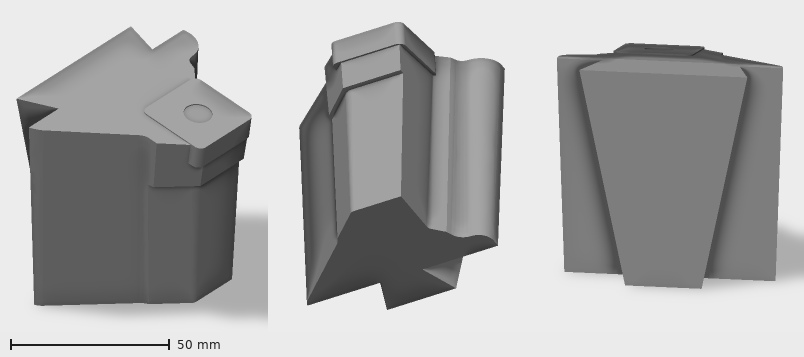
import cadquery as cq
import math

HEIGHT = 69.25
DRAFT = 2.0
TILT = 8.0
SLOPE_START_X = 16.0
FLANGE_BACK_X = 13.5
FLANGE_Y_MIN = -36.0
FLANGE_Y_MAX = 36.5
CLEARANCE = 72.4

SHOULDER_CENTER_X = 16.6
SHOULDER_RADIUS = 7.7
NECK_RADIUS = 3.05
NECK_EXIT_ANGLE = 20.0
NECK_EDGE_LENGTH = 2.5
FOOT_RADIUS = 7.45
STEP_Y = -11.15
STEP_CENTER_X = 42.05
STEP_RADIUS = 4.05

DOVETAIL_TOP_HALF = 26.85
DOVETAIL_BASE_HALF = 12.2
DOVETAIL_FLANK_ANGLE = 20.0

INSERT_SIDE = 25.4
INSERT_THICKNESS = 7.95
INSERT_CORNER_RADIUS = 2.4
INSERT_HOLE_DIAMETER = 9.1
INSERT_RECESS_DEPTH = 0.4
INSERT_TIP_X = 56.95
INSERT_Y_MIN = -3.4
INSERT_PROUD = 0.4
INSERT_OVERHANG = 0.9

HEAD_BASE_Z = 47.05
HEAD_DIAGONAL = 56.1
STEM_DIAGONAL = 52.55
STEM_TIP_X = 52.7
STEM_CORNER_RADIUS = 4.6

INSERT_Y_MAX = INSERT_Y_MIN + INSERT_SIDE
HEAD_Y_MAX = INSERT_Y_MAX - INSERT_OVERHANG
SIN_45 = math.sin(math.radians(45))
TAN_TILT = math.tan(math.radians(TILT))


def on_circle(center, radius, degrees):
    angle = math.radians(degrees)
    return (center[0] + radius * math.cos(angle), center[1] + radius * math.sin(angle))


def box_between(low, high):
    size = [b - a for a, b in zip(low, high)]
    return cq.Workplane("XY").box(*size, centered=False).translate(low)


def sloped_plane(lift):
    """Plane parallel to the sloped top face, with its origin at the insert tip."""
    slope_z = HEIGHT - (INSERT_TIP_X - SLOPE_START_X) * TAN_TILT
    normal = (math.sin(math.radians(TILT)), 0, math.cos(math.radians(TILT)))
    along = (normal[2], 0, -normal[0])
    origin = (INSERT_TIP_X, 0, slope_z + lift)
    return cq.Plane(origin=origin, xDir=along, normal=normal)


def drafted_block():
    """Full block outline, drafted from the top level down to the base."""
    shoulder = (SHOULDER_CENTER_X, FLANGE_Y_MAX - SHOULDER_RADIUS)
    neck = (shoulder[0] + SHOULDER_RADIUS + NECK_RADIUS, shoulder[1])
    step = (STEP_CENTER_X, STEP_Y - STEP_RADIUS)
    foot_y = FLANGE_Y_MIN + FOOT_RADIUS
    foot_x = step[0] - step[1] + foot_y - (STEP_RADIUS + FOOT_RADIUS) / SIN_45
    foot = (foot_x, foot_y)
    neck_end_angle = 270 - NECK_EXIT_ANGLE
    neck_end = on_circle(neck, NECK_RADIUS, neck_end_angle)
    knee = on_circle(neck_end, NECK_EDGE_LENGTH, -NECK_EXIT_ANGLE)
    ramp_end_x = knee[0] + knee[1] - HEAD_Y_MAX
    far_x = INSERT_TIP_X + FLANGE_BACK_X
    outline = (
        cq.Workplane("XY", origin=(0, 0, HEIGHT))
        .moveTo(0, FLANGE_Y_MIN)
        .lineTo(foot[0], FLANGE_Y_MIN)
        .threePointArc(on_circle(foot, FOOT_RADIUS, -67.5), on_circle(foot, FOOT_RADIUS, -45))
        .lineTo(*on_circle(step, STEP_RADIUS, 135))
        .threePointArc(on_circle(step, STEP_RADIUS, 112.5), (step[0], STEP_Y))
        .lineTo(far_x, STEP_Y)
        .lineTo(far_x, HEAD_Y_MAX)
        .lineTo(ramp_end_x, HEAD_Y_MAX)
        .lineTo(*knee)
        .lineTo(*neck_end)
        .threePointArc(
            on_circle(neck, NECK_RADIUS, (180 + neck_end_angle) / 2),
            (neck[0] - NECK_RADIUS, neck[1]),
        )
        .threePointArc(on_circle(shoulder, SHOULDER_RADIUS, 45), (shoulder[0], FLANGE_Y_MAX))
        .lineTo(0, FLANGE_Y_MAX)
        .close()
    )
    block = outline.extrude(-HEIGHT, taper=DRAFT)
    return block.intersect(
        box_between((FLANGE_BACK_X, -CLEARANCE, 0), (CLEARANCE, CLEARANCE, HEIGHT))
    )


def head_limit():
    """Prism square to the sloped face that bounds the block above the head base."""
    tip = -INSERT_OVERHANG
    diagonal_y = INSERT_TIP_X + tip - HEAD_DIAGONAL
    prism = (
        cq.Workplane(sloped_plane(0))
        .polyline([
            (tip, CLEARANCE),
            (-CLEARANCE, CLEARANCE),
            (-CLEARANCE, diagonal_y - CLEARANCE - tip),
            (tip, diagonal_y),
        ])
        .close()
        .extrude(CLEARANCE, both=True)
    )
    return prism.intersect(
        box_between((0, -CLEARANCE, HEAD_BASE_Z), (CLEARANCE, CLEARANCE, HEIGHT))
    )


def stem_limit():
    """Drafted prism that bounds the block below the head base."""
    center_x = STEM_TIP_X - STEM_CORNER_RADIUS
    center_y = center_x + STEM_CORNER_RADIUS / SIN_45 - STEM_DIAGONAL
    center = (center_x, center_y)
    prism = (
        cq.Workplane("XY", origin=(0, 0, HEIGHT))
        .moveTo(0, -STEM_DIAGONAL)
        .lineTo(*on_circle(center, STEM_CORNER_RADIUS, -45))
        .threePointArc(on_circle(center, STEM_CORNER_RADIUS, -22.5), (STEM_TIP_X, center_y))
        .lineTo(STEM_TIP_X, CLEARANCE)
        .lineTo(0, CLEARANCE)
        .close()
        .extrude(-HEIGHT, taper=DRAFT)
    )
    return prism.intersect(
        box_between((0, -CLEARANCE, 0), (CLEARANCE, CLEARANCE, HEAD_BASE_Z))
    )


def dovetail_section(workplane, back_half):
    root_half = back_half - FLANGE_BACK_X * math.tan(math.radians(DOVETAIL_FLANK_ANGLE))
    return workplane.polyline([
        (0, -back_half),
        (FLANGE_BACK_X, -root_half),
        (FLANGE_BACK_X, root_half),
        (0, back_half),
    ]).close()


def make_dovetail():
    base = dovetail_section(cq.Workplane("XY"), DOVETAIL_BASE_HALF)
    top = dovetail_section(base.workplane(offset=HEIGHT), DOVETAIL_TOP_HALF)
    return top.loft(ruled=True)


def above_slope():
    return (
        cq.Workplane("XZ", origin=(0, CLEARANCE, 0))
        .polyline([
            (SLOPE_START_X, HEIGHT),
            (SLOPE_START_X + CLEARANCE, HEIGHT - CLEARANCE * TAN_TILT),
            (SLOPE_START_X + CLEARANCE, HEIGHT),
        ])
        .close()
        .extrude(2 * CLEARANCE)
    )


def on_insert_center():
    center_y = INSERT_Y_MIN + INSERT_SIDE / 2
    return cq.Workplane(sloped_plane(INSERT_PROUD)).center(-INSERT_SIDE / 2, center_y)


def insert_blank():
    """Rounded square plate without its hole; also the shape of its pocket."""
    outline = cq.Sketch().rect(INSERT_SIDE, INSERT_SIDE).vertices().fillet(INSERT_CORNER_RADIUS)
    return on_insert_center().placeSketch(outline).extrude(-INSERT_THICKNESS)


def make_insert():
    recess = on_insert_center().circle(INSERT_HOLE_DIAMETER / 2).extrude(-INSERT_RECESS_DEPTH)
    return insert_blank().cut(recess)


def make_holder():
    block = drafted_block()
    head = block.intersect(head_limit())
    stem = block.intersect(stem_limit())
    sloped = stem.union(head).cut(above_slope())
    return sloped.union(make_dovetail()).cut(insert_blank())


holder = make_holder()
insert = make_insert()

result = cq.Compound.makeCompound([holder.val(), insert.val()])